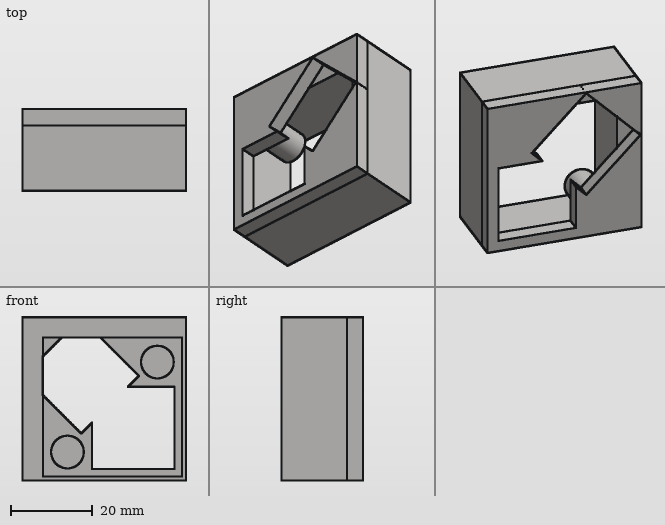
import cadquery as cq
import math

side = 40.0
depth = 20.0
plate_thickness = 4.0
frame_depth = depth - plate_thickness

thick_wall = 5.0
thin_wall = 1.0
cavity_side = side - thick_wall - thin_wall

window_side = 20.1
turned_window_side = 19.9
window_margin = 2.9
window_spacing = 18.0
window_turn = 45.0

post_diameter = 8.0
post_wall_gap = 2.0
post_height = 10.0

upright_x = side - window_margin - window_side / 2
upright_z = window_margin + window_side / 2
diagonal_step = window_spacing * math.cos(math.radians(window_turn))
turned_x = upright_x - diagonal_step
turned_z = upright_z + diagonal_step
post_inset = post_wall_gap + post_diameter / 2
post_places = [
    (thick_wall + post_inset, thin_wall + post_inset),
    (side - thin_wall - post_inset, side - thick_wall - post_inset),
]


def square_block(size, center_x, center_z, front_y, thickness, turn=0.0):
    """Square block running from front_y toward +Y, turned about its own centre."""
    return (
        cq.Workplane("XZ", origin=(center_x, front_y, center_z))
        .transformed(rotate=(0, 0, turn))
        .rect(size, size)
        .extrude(-thickness)
    )


def make_frame():
    """Deep open frame with an off-centre square cavity right through it."""
    block = square_block(side, side / 2, side / 2, 0, frame_depth)
    cavity_x = thick_wall + cavity_side / 2
    cavity_z = thin_wall + cavity_side / 2
    return block.cut(square_block(cavity_side, cavity_x, cavity_z, 0, frame_depth))


def make_plate():
    """Back plate with two overlapping square windows."""
    block = square_block(side, side / 2, side / 2, frame_depth, plate_thickness)
    upright = square_block(window_side, upright_x, upright_z, frame_depth, plate_thickness)
    turned = square_block(
        turned_window_side, turned_x, turned_z, frame_depth, plate_thickness, window_turn
    )
    return block.cut(upright).cut(turned)


def make_post(center_x, center_z):
    """Round post standing on the plate, inside the frame."""
    return (
        cq.Workplane("XZ", origin=(center_x, frame_depth, center_z))
        .circle(post_diameter / 2)
        .extrude(post_height)
    )


frame = make_frame()
plate = make_plate()
posts = [make_post(x, z).val() for x, z in post_places]

result = cq.Compound.makeCompound([frame.val(), plate.val(), *posts])